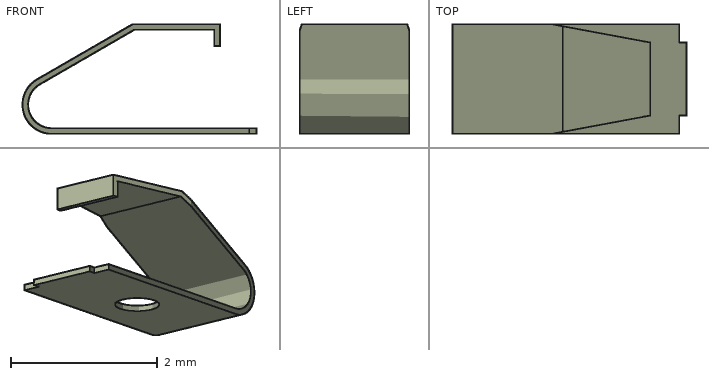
import cadquery as cq
import math

length = 3.2
width = 1.5
height = 1.5
thickness = 0.08
bend_radius = 0.4
arm_angle = 30.0
arm_end_x = 2.7
lip_height = 0.3
taper_start_x = 1.35
narrow_width = 1.0
tab_length = 0.1
hole_diameter = 0.6
hole_x = length / 2

slope = math.radians(arm_angle)
inner_radius = bend_radius - thickness
shoulder_x = length - tab_length


def bend_point(radius, angle):
    """Point on the rounded end, with the angle measured from +X."""
    return (bend_radius + radius * math.cos(angle), bend_radius + radius * math.sin(angle))


def arm_corner(radius, top_z):
    """Corner where the sloping face tangent to the bend reaches the level top_z."""
    x, z = bend_point(radius, slope + math.pi / 2)
    return (x + (top_z - z) / math.tan(slope), top_z)


def bent_strip():
    """Side profile of the strip extruded over the full width."""
    arm_tangent = slope + math.pi / 2
    lip_bottom = height - lip_height
    lip_inner_x = arm_end_x - thickness
    inner_top = height - thickness
    return (
        cq.Workplane("XZ")
        .moveTo(length, 0)
        .lineTo(bend_radius, 0)
        .threePointArc(bend_point(bend_radius, math.pi), bend_point(bend_radius, arm_tangent))
        .lineTo(*arm_corner(bend_radius, height))
        .lineTo(arm_end_x, height)
        .lineTo(arm_end_x, lip_bottom)
        .lineTo(lip_inner_x, lip_bottom)
        .lineTo(lip_inner_x, inner_top)
        .lineTo(*arm_corner(inner_radius, inner_top))
        .lineTo(*bend_point(inner_radius, arm_tangent))
        .threePointArc(bend_point(inner_radius, math.pi), (bend_radius, thickness))
        .lineTo(length, thickness)
        .close()
        .extrude(width / 2, both=True)
    )


def symmetric_plan(half_outline, bottom_z, top_z):
    """Prism from (x, half width) points mirrored about the XZ plane."""
    mirrored = [(x, -y) for x, y in reversed(half_outline)]
    return (
        cq.Workplane("XY", origin=(0, 0, bottom_z))
        .polyline(half_outline + mirrored)
        .close()
        .extrude(top_z - bottom_z)
    )


base_plan = symmetric_plan(
    [
        (0, width / 2),
        (shoulder_x, width / 2),
        (shoulder_x, narrow_width / 2),
        (length, narrow_width / 2),
    ],
    0,
    bend_radius,
)
arm_plan = symmetric_plan(
    [(0, width / 2), (taper_start_x, width / 2), (arm_end_x, narrow_width / 2)],
    bend_radius,
    height,
)

base_hole = (
    cq.Workplane("XY")
    .center(hole_x, 0)
    .circle(hole_diameter / 2)
    .extrude(thickness)
)

result = bent_strip().intersect(base_plan.union(arm_plan)).cut(base_hole)